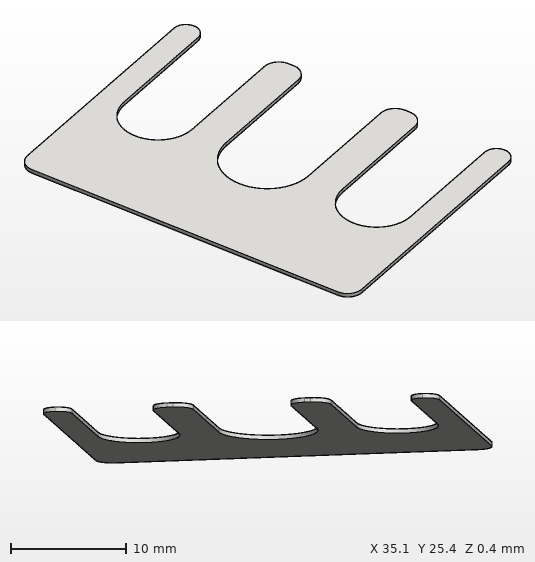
import cadquery as cq

width = 35.05
depth = 25.4
thickness = 0.4

center_slot_width = 8.65
side_slot_width = 7.15
inner_tine_width = 3.55
slot_center_height = 12.72
slot_center_y = slot_center_height - depth / 2
side_slot_x = center_slot_width / 2 + inner_tine_width + side_slot_width / 2
outer_tine_width = width / 2 - side_slot_x - side_slot_width / 2

base_corner_radius = 1.5
inner_tip_radius = 1.5
tip_flat = 0.007
outer_tip_radius = (outer_tine_width - tip_flat) / 2


def slot_cutter(center_x, slot_width):
    """Round-bottomed slot running out through the +Y edge."""
    straight_length = depth / 2 - slot_center_y
    straight = (
        cq.Workplane("XY")
        .center(center_x, slot_center_y + straight_length / 2)
        .rect(slot_width, straight_length)
        .extrude(thickness)
    )
    bottom = (
        cq.Workplane("XY")
        .center(center_x, slot_center_y)
        .circle(slot_width / 2)
        .extrude(thickness)
    )
    return straight.union(bottom)


plate = cq.Workplane("XY").box(width, depth, thickness, centered=(True, True, False))
for center_x, slot_width in (
    (-side_slot_x, side_slot_width),
    (0, center_slot_width),
    (side_slot_x, side_slot_width),
):
    plate = plate.cut(slot_cutter(center_x, slot_width))

plate = plate.faces("<Y").edges("|Z").fillet(base_corner_radius)

outer_tips = plate.faces(">Y").edges("|Z").filter(
    lambda edge: abs(edge.Center().x) > side_slot_x
)
plate = outer_tips.fillet(outer_tip_radius)
inner_tips = plate.faces(">Y").edges("|Z").filter(
    lambda edge: abs(edge.Center().x) < side_slot_x
)
result = inner_tips.fillet(inner_tip_radius)